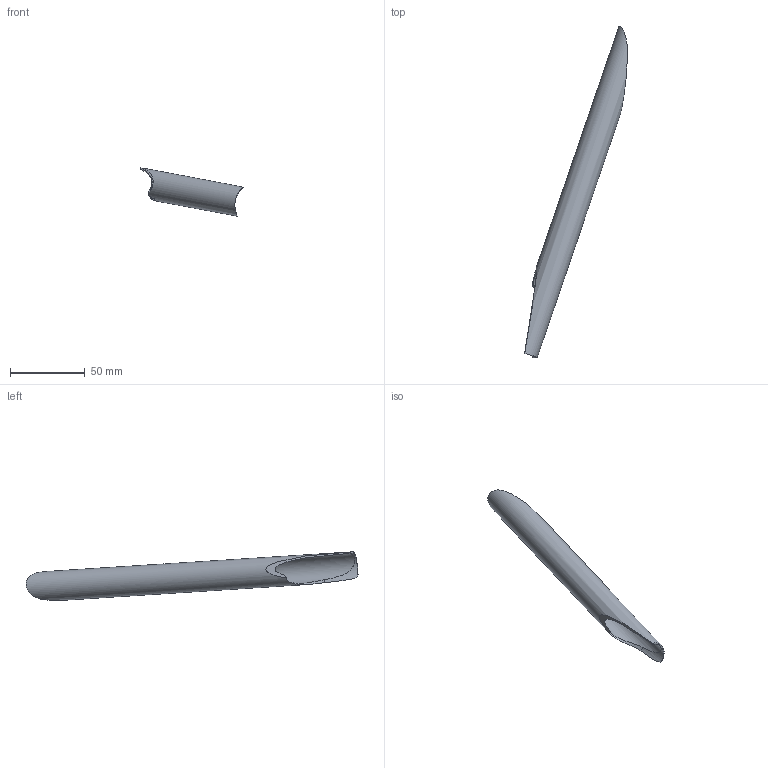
import cadquery as cq

TUBE_RADIUS = 10.0
TUBE_WALL = 1.0
TUBE_CENTRE = cq.Vector(1.1, 0, -0.58)
TUBE_DIRECTION = cq.Vector(0.3424, 1, -0.0646)
TUBE_BLANK_LENGTH = 252.0

SADDLE_RADIUS = 15.7
SADDLE_X = 44.15
SADDLE_Z = -8.85
SADDLE_LENGTH = 300.0

GROOVE_RADIUS = TUBE_RADIUS
GROOVE_NOSE_START = cq.Vector(-31.8, -86.2, 3.2)
NOSE_LENGTH = 25.0
GROOVE_DIRECTION = cq.Vector(0.216, 1, -0.116)
GROOVE_LENGTH = 90.0

FACE_POINT = cq.Vector(-31.6, -80, 5)
FACE_NORMAL = cq.Vector(-1, 0.178, 0.178)
CUTTER_SIZE = 160.0

TIP_POINT = cq.Vector(-26.4, -110.9, 5)
TIP_DIRECTION = cq.Vector(-0.178, -1, 0.116)


def rod(start, direction, radius, length):
    """Solid round bar from start along direction."""
    return cq.Workplane(cq.Solid.makeCylinder(radius, length, start, direction))


def half_space(point, outward):
    """Large block lying on the outward side of a plane through point."""
    plane = cq.Plane(origin=point, normal=outward)
    return cq.Workplane(plane).rect(CUTTER_SIZE, CUTTER_SIZE).extrude(CUTTER_SIZE)


def tube_blank():
    """Hollow tube with plain ends, centred on TUBE_CENTRE."""
    start = TUBE_CENTRE - TUBE_DIRECTION.normalized() * (TUBE_BLANK_LENGTH / 2)
    outside = rod(start, TUBE_DIRECTION, TUBE_RADIUS, TUBE_BLANK_LENGTH)
    bore = rod(start, TUBE_DIRECTION, TUBE_RADIUS - TUBE_WALL, TUBE_BLANK_LENGTH)
    return outside.cut(bore)


def saddle_cutter():
    """Solid bar filling the space of the larger tube at the far end."""
    return rod(cq.Vector(SADDLE_X, 0, SADDLE_Z), cq.Vector(0, 1, 0), SADDLE_RADIUS, SADDLE_LENGTH)


def groove_cutter():
    """Round bar with a half-ellipsoid nose, turned about its own axis."""
    side = GROOVE_DIRECTION.cross(cq.Vector(0, 0, 1))
    profile_plane = cq.Plane(origin=GROOVE_NOSE_START, xDir=GROOVE_DIRECTION, normal=side)
    return (
        cq.Workplane(profile_plane)
        .moveTo(NOSE_LENGTH, 0)
        .ellipseArc(NOSE_LENGTH, GROOVE_RADIUS, 0, 90)
        .lineTo(-GROOVE_LENGTH, GROOVE_RADIUS)
        .lineTo(-GROOVE_LENGTH, 0)
        .close()
        .revolve(360, (0, 0), (1, 0))
    )


result = (
    tube_blank()
    .cut(saddle_cutter())
    .cut(half_space(TIP_POINT, TIP_DIRECTION))
    .cut(half_space(FACE_POINT, FACE_NORMAL))
    .cut(groove_cutter())
)